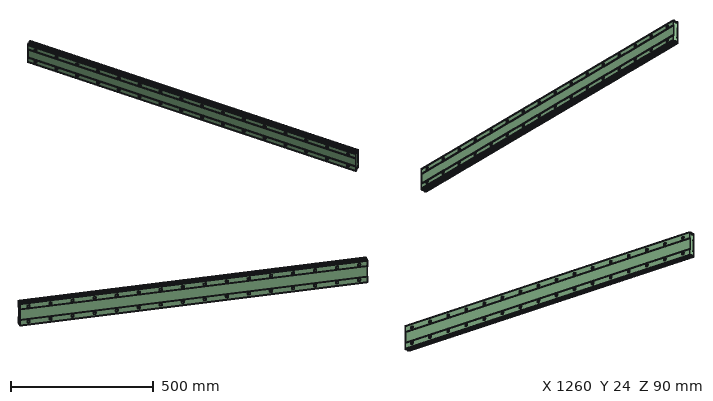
import cadquery as cq

LENGTH = 1260.0
THICKNESS = 24.0
HEIGHT = 90.0

FLANGE_HEIGHT = 24.0
RECESS_DEPTH = 2.0

GROOVE_WIDTH = 8.2
GROOVE_DEPTH = 4.0
GROOVE_OFFSET = -0.4

BACK_CHAMFER = 3.2
FRONT_CHAMFER = 1.0

HOLE_COUNT = 16
HOLE_DIAMETER = 9.5
HOLE_END_DISTANCE = 30.0
HOLE_EDGE_DISTANCE = 15.0
HOLE_PITCH = (LENGTH - 2 * HOLE_END_DISTANCE) / (HOLE_COUNT - 1)
HOLE_ROW_SPACING = HEIGHT - 2 * HOLE_EDGE_DISTANCE


def rail_body():
    """Solid bar with its four long corners bevelled."""
    return (
        cq.Workplane("XY")
        .box(LENGTH, THICKNESS, HEIGHT)
        .edges("|X and >Y")
        .chamfer(BACK_CHAMFER)
        .edges("|X and <Y")
        .chamfer(FRONT_CHAMFER)
    )


def face_recess(side):
    """Cutter for the web recess on the -Y (side = -1) or +Y (side = 1) face."""
    web_height = HEIGHT - 2 * FLANGE_HEIGHT
    return (
        cq.Workplane("XY")
        .box(LENGTH, 2 * RECESS_DEPTH, web_height)
        .translate((0, side * THICKNESS / 2, 0))
    )


def edge_groove(side):
    """Cutter for the groove in the bottom (side = -1) or top (side = 1) edge."""
    return (
        cq.Workplane("XY")
        .box(LENGTH, GROOVE_WIDTH, 2 * GROOVE_DEPTH)
        .translate((0, GROOVE_OFFSET, side * HEIGHT / 2))
    )


def flange_holes():
    """Cutters for both rows of holes, running through the thickness."""
    return (
        cq.Workplane("XZ")
        .rarray(HOLE_PITCH, HOLE_ROW_SPACING, HOLE_COUNT, 2)
        .circle(HOLE_DIAMETER / 2)
        .extrude(THICKNESS, both=True)
    )


result = rail_body()
for side in (-1, 1):
    result = result.cut(face_recess(side)).cut(edge_groove(side))
result = result.cut(flange_holes())